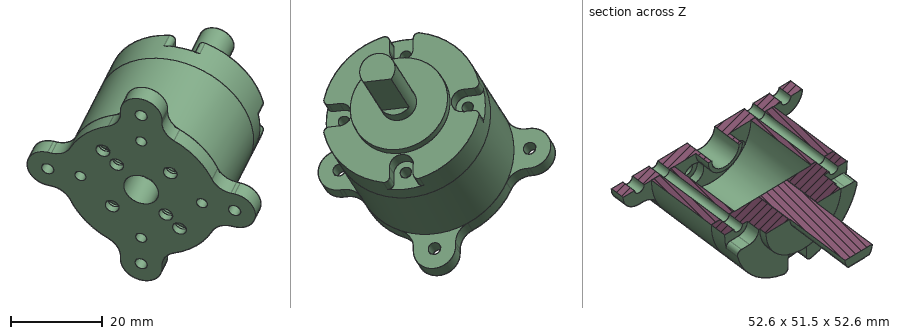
import cadquery as cq
import math


flange_thickness = 3.9
flange_hub_end_y = 8.0
split_y = 23.4
cap_end_y = 31.45
pilot_end_y = 33.5
flat_start_y = 36.45
shaft_end_y = 51.5

body_diameter = 36.0
body_radius = body_diameter / 2
cavity_diameter = 22.35
pilot_diameter = 22.0
shaft_diameter = 8.0
flange_hub_diameter = 10.0

overall_width = 52.65
lobe_radius = 4.8
lobe_root_radius = 4.8
lobe_center_distance = overall_width / 2 - lobe_radius

fixing_hole_diameter = 2.8

screw_hole_diameter = 2.5
screw_circle_radius = 14.0

motor_hole_diameter = 3.15
motor_counterbore_diameter = 6.0
motor_web_thickness = 1.8
inner_pair_distance = 8.0
outer_pair_distance = 12.45
cross_pair_distance = 9.45

notch_depth = 3.7
notch_radius = 2.7
notch_lip_radius = 1.15
notch_overshoot = 0.5

flat_distance = 2.5

quarter_turns = (0, 90, 180, 270)


def polar(distance, angle):
    """(X, Z) of a point at a distance from the axis and an angle in degrees."""
    return distance * math.cos(math.radians(angle)), distance * math.sin(math.radians(angle))


def rotated(point, angle):
    """(X, Z) point turned about the axis by an angle in degrees."""
    distance = math.hypot(*point)
    return polar(distance, math.degrees(math.atan2(point[1], point[0])) + angle)


def arc_middle(center, start, end):
    """Middle of the shorter arc from start to end around a center."""
    radius = math.dist(center, start)
    along_x = start[0] + end[0] - 2 * center[0]
    along_z = start[1] + end[1] - 2 * center[1]
    reach = radius / math.hypot(along_x, along_z)
    return center[0] + reach * along_x, center[1] + reach * along_z


def mirrored(point):
    """(X, Z) point mirrored across the X axis."""
    return point[0], -point[1]


def cylinder(diameter, start_y, end_y, center=(0.0, 0.0)):
    """Solid cylinder along +Y between two stations."""
    base = cq.Vector(center[0], start_y, center[1])
    solid = cq.Solid.makeCylinder(diameter / 2, end_y - start_y, base, cq.Vector(0, 1, 0))
    return cq.Workplane(obj=solid)


def cut_screw_holes(body, start_y, end_y):
    """Cut the four clamping screw holes between two stations."""
    for angle in quarter_turns:
        center = polar(screw_circle_radius, angle)
        body = body.cut(cylinder(screw_hole_diameter, start_y, end_y, center))
    return body


def make_flange_blank():
    """Round plate with four lobes, each blended into the plate by concave arcs."""
    root_distance = body_radius + lobe_root_radius
    root_z = lobe_radius + lobe_root_radius
    root_center = (math.sqrt(root_distance**2 - root_z**2), root_z)
    shrink = body_radius / root_distance
    plate_end = (root_center[0] * shrink, root_center[1] * shrink)
    root_end = (root_center[0], lobe_radius)
    root_middle = arc_middle(root_center, plate_end, root_end)
    lobe_side = (lobe_center_distance, lobe_radius)
    lobe_tip = (overall_width / 2, 0.0)

    outline = cq.Workplane("XZ").moveTo(*mirrored(plate_end))
    for angle in quarter_turns:
        next_plate_start = rotated(mirrored(plate_end), angle + 90)
        outline = (
            outline
            .threePointArc(rotated(mirrored(root_middle), angle), rotated(mirrored(root_end), angle))
            .lineTo(*rotated(mirrored(lobe_side), angle))
            .threePointArc(rotated(lobe_tip, angle), rotated(lobe_side, angle))
            .lineTo(*rotated(root_end, angle))
            .threePointArc(rotated(root_middle, angle), rotated(plate_end, angle))
            .threePointArc(polar(body_radius, angle + 45), next_plate_start)
        )
    return outline.close().extrude(-flange_thickness)


def cut_motor_holes(flange):
    """Cut three pairs of motor holes on the diagonals, counterbored from the inner face."""
    pairs = ((inner_pair_distance, 135), (outer_pair_distance, 135), (cross_pair_distance, 45))
    for distance, angle in pairs:
        for center in (polar(distance, angle), polar(distance, angle + 180)):
            hole = cylinder(motor_hole_diameter, 0, flange_thickness, center)
            counterbore = cylinder(motor_counterbore_diameter, motor_web_thickness, flange_thickness, center)
            flange = flange.cut(hole).cut(counterbore)
    return flange


def make_flange():
    """Lobed flange with a central hub that reaches into the housing."""
    flange = cut_motor_holes(make_flange_blank())
    flange = flange.union(cylinder(flange_hub_diameter, 0, flange_hub_end_y))
    flange = flange.cut(cylinder(shaft_diameter, 0, flange_hub_end_y))
    for angle in quarter_turns:
        center = polar(lobe_center_distance, angle)
        flange = flange.cut(cylinder(fixing_hole_diameter, 0, flange_thickness, center))
    return cut_screw_holes(flange, 0, flange_thickness)


def make_housing():
    """Plain ring between the flange and the cap."""
    housing = cylinder(body_diameter, flange_thickness, split_y)
    housing = housing.cut(cylinder(cavity_diameter, flange_thickness, split_y))
    return cut_screw_holes(housing, flange_thickness, split_y)


def make_notch():
    """Cutter for the notch that opens towards +X: a round-ended slot with rounded lips at its mouth."""
    lip_z = notch_radius + notch_lip_radius
    lip_distance = body_radius - notch_lip_radius
    lip_center = (math.sqrt(lip_distance**2 - lip_z**2), lip_z)
    grow = body_radius / lip_distance
    slot_start = (screw_circle_radius, notch_radius)
    lip_start = (lip_center[0], notch_radius)
    lip_end = (lip_center[0] * grow, lip_center[1] * grow)
    lip_middle = arc_middle(lip_center, lip_start, lip_end)
    mouth = (body_radius + notch_overshoot, lip_end[1])
    return (
        cq.Workplane("XZ", origin=(0, cap_end_y, 0))
        .moveTo(*mirrored(slot_start))
        .threePointArc((screw_circle_radius - notch_radius, 0), slot_start)
        .lineTo(*lip_start)
        .threePointArc(lip_middle, lip_end)
        .lineTo(*mouth)
        .lineTo(*mirrored(mouth))
        .lineTo(*mirrored(lip_end))
        .threePointArc(mirrored(lip_middle), mirrored(lip_start))
        .close()
        .extrude(notch_depth)
    )


def make_cap():
    """End cap with a pilot, four rim notches and a bore for the shaft."""
    cap = cylinder(body_diameter, split_y, cap_end_y)
    cap = cap.union(cylinder(pilot_diameter, cap_end_y, pilot_end_y))
    cap = cap.cut(cylinder(shaft_diameter, split_y, pilot_end_y))
    notch = make_notch()
    for angle in quarter_turns:
        cap = cap.cut(notch.rotate((0, 0, 0), (0, 1, 0), angle))
    return cut_screw_holes(cap, split_y, cap_end_y)


def make_shaft():
    """Output shaft with a flat on its -Z side."""
    shaft = cylinder(shaft_diameter, split_y, shaft_end_y)
    flat_length = shaft_end_y - flat_start_y
    flat_cutter = (
        cq.Workplane("XY")
        .box(shaft_diameter, flat_length, shaft_diameter, centered=(True, False, False))
        .translate((0, flat_start_y, -flat_distance - shaft_diameter))
    )
    return shaft.cut(flat_cutter)


flange = make_flange()
housing = make_housing()
cap = make_cap()
shaft = make_shaft()

bodies = [flange, housing, cap, shaft]
result = cq.Compound.makeCompound([body.solids().val() for body in bodies])